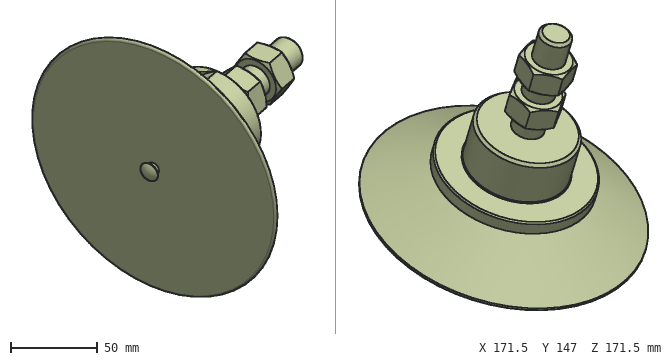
import cadquery as cq
import math

cup_diameter = 171.5
rim_radius = 1.5
rim_back_angle = 30.0
flange_diameter = 98.5
flange_start = 27.3
flange_top = 35.7
flange_chamfer = 1.0

body_diameter = 64.1
body_top = 65.3
body_chamfer = 1.9
foot_diameter = 65.3
foot_height = 0.7
stud_diameter = 20.0
stud_top = 140.1
stud_chamfer = 1.9

pin_diameter = 8.0
pin_length = 6.9
pin_head_diameter = 12.2
pin_head_height = 3.0
pin_head_edge = 0.5

nut_flats = 30.0
nut_height = 16.1
nut_face_inset = 0.7
nut_chamfer_angle = 30.0
outer_nut_start = 104.6
outer_nut_turn = 0.0
inner_nut_start = 77.2
inner_nut_turn = 15.0

port_turn = 20.0
port_width = 24.0
port_slope = 20.0
port_top = body_top - body_chamfer
port_top_reach = 29.8
port_hole_height = 43.9
port_hole_diameter = 13.0
port_hole_chamfer = 0.9
port_hole_depth = 12.0


def turn_about_axis(shape, angle):
    return shape.rotate((0, 0, 0), (0, 1, 0), angle)


def make_turned_part():
    """Pin, cup, flange, body and stud as one revolved outline (radius, height)."""
    cup = cup_diameter / 2
    rim_back = math.radians(rim_back_angle)
    rim_centre = cup - rim_radius
    rim_end = (rim_centre + rim_radius * math.cos(rim_back), rim_radius * (1 + math.sin(rim_back)))
    flange = flange_diameter / 2
    body = body_diameter / 2
    foot = foot_diameter / 2
    stud = stud_diameter / 2
    pin = pin_diameter / 2
    head = pin_head_diameter / 2
    head_back = pin_head_height - pin_length
    head_front = head_back - pin_head_edge

    dome_height = head_front + pin_length
    dome_radius = (head**2 + dome_height**2) / (2 * dome_height)
    dome_half_angle = math.asin(head / dome_radius) / 2
    dome_middle = (
        dome_radius * math.sin(dome_half_angle),
        -pin_length + dome_radius * (1 - math.cos(dome_half_angle)),
    )

    outline = (
        cq.Workplane("XY")
        .moveTo(0, -pin_length)
        .threePointArc(dome_middle, (head, head_front))
        .lineTo(head, head_back)
        .lineTo(pin, head_back)
        .lineTo(pin, 0)
        .lineTo(rim_centre, 0)
        .threePointArc((cup, rim_radius), rim_end)
        .lineTo(flange, flange_start)
        .lineTo(flange, flange_top - flange_chamfer)
        .lineTo(flange - flange_chamfer, flange_top)
        .lineTo(foot, flange_top)
        .lineTo(foot, flange_top + foot_height)
        .lineTo(body, flange_top + foot_height)
        .lineTo(body, body_top - body_chamfer)
        .lineTo(body - body_chamfer, body_top)
        .lineTo(stud, body_top)
        .lineTo(stud, stud_top - stud_chamfer)
        .lineTo(stud - stud_chamfer, stud_top)
        .lineTo(0, stud_top)
        .close()
    )
    return outline.revolve(360, (0, 0, 0), (0, 1, 0))


def make_nut(start, turn):
    """Hexagon nut with corners on X before turning, its corners chamfered at both ends."""
    corner = nut_flats / 2 / math.cos(math.radians(30))
    chamfer_start = nut_flats / 2 - nut_face_inset
    chamfer_height = (corner - chamfer_start) * math.tan(math.radians(nut_chamfer_angle))
    hexagon = cq.Workplane("XZ").polygon(6, 2 * corner).extrude(-nut_height)
    envelope = (
        cq.Workplane("XY")
        .moveTo(0, 0)
        .lineTo(chamfer_start, 0)
        .lineTo(corner, chamfer_height)
        .lineTo(corner, nut_height - chamfer_height)
        .lineTo(chamfer_start, nut_height)
        .lineTo(0, nut_height)
        .close()
        .revolve(360, (0, 0, 0), (0, 1, 0))
    )
    nut = hexagon.intersect(envelope).translate((0, start, 0))
    return turn_about_axis(nut, turn)


def port_reach(height):
    """Distance of the sloping port face from the axis at a given height."""
    return port_top_reach + (port_top - height) * math.tan(math.radians(port_slope))


def make_port_block():
    block = (
        cq.Workplane("YZ")
        .moveTo(flange_top, 0)
        .lineTo(flange_top, port_reach(flange_top))
        .lineTo(port_top, port_top_reach)
        .lineTo(port_top, 0)
        .close()
        .extrude(port_width / 2, both=True)
    )
    return turn_about_axis(block, -port_turn)


def make_port_hole():
    """Blind hole square to the port face, with a chamfered mouth."""
    radius = port_hole_diameter / 2
    slope = math.radians(port_slope)
    mouth = cq.Plane(
        origin=(0, port_hole_height, port_reach(port_hole_height)),
        xDir=(1, 0, 0),
        normal=(0, math.sin(slope), math.cos(slope)),
    )
    bore = cq.Workplane(mouth).circle(radius).extrude(-port_hole_depth)
    countersink = (
        cq.Workplane(mouth)
        .circle(radius + port_hole_chamfer)
        .extrude(-port_hole_chamfer, taper=45)
    )
    return turn_about_axis(bore.union(countersink), -port_turn)


result = (
    make_turned_part()
    .union(make_nut(outer_nut_start, outer_nut_turn))
    .union(make_nut(inner_nut_start, inner_nut_turn))
    .union(make_port_block())
    .cut(make_port_hole())
)